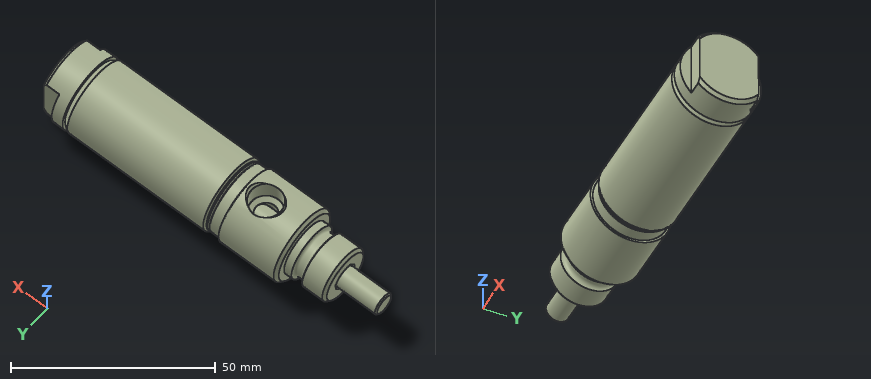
import cadquery as cq
import math

LENGTH = 100.8
BODY_RADIUS = 21.9 / 2

ROD_RADIUS = 6.4 / 2
ROD_TIP_CHAMFER = 0.4

NOSE_START = 12.3
GROOVE_START = 19.5
GROOVE_END = 22.8
SHOULDER_START = 25.1
SHOULDER_END = 43.3
HEAD_END = 46.7

NOSE_RADIUS = 8.0
NOSE_CHAMFER = 0.8
GROOVE_RADIUS = 6.8
GROOVE_FILLET = 0.8
SHOULDER_CHAMFER = 0.9
COLLAR_RADIUS = 10.3
ROD_MOUTH_RADIUS = 3.7

PORT_X = 37.2
PORT_RADIUS = 4.6
PORT_MOUTH_RADIUS = 5.3
PORT_FLOOR_Z = 4.0
PORT_DRILL_RADIUS = 3.1
PORT_POINT_ANGLE = 120.0

BARREL_LIP_RADIUS = 9.9
BARREL_BEAD_START = 47.3
BARREL_BEAD_END = 47.7
BARREL_BEAD_RADIUS = 10.3
BARREL_WALL_START = 48.2
BARREL_WALL_END = 90.9
BARREL_REAR_BREAK_LENGTH = 0.3
BARREL_REAR_BREAK_DEPTH = 0.1
BARREL_REAR_RADIUS = 10.0

CAP_START = 92.4
CAP_CHAMFER = 0.9
FLAT_START = 95.9
WIDTH_ACROSS_FLATS = 15.8


def turned(profile):
    """Solid of revolution about the X axis from a closed (x, radius) profile."""
    return profile.close().revolve(360, (0, 0, 0), (1, 0, 0))


def cone_about_x(start_x, end_x, start_radius, end_radius):
    """Cone frustum along the X axis."""
    profile = cq.Workplane("XY").polyline(
        [(start_x, 0), (start_x, start_radius), (end_x, end_radius), (end_x, 0)]
    )
    return turned(profile)


def make_rod():
    rod = cq.Workplane("YZ").circle(ROD_RADIUS).extrude(HEAD_END)
    return rod.faces("<X").chamfer(ROD_TIP_CHAMFER)


def head_blank():
    """Turned outside of the head: nose, relief groove, shoulder and collar."""
    runout = NOSE_RADIUS - GROOVE_RADIUS
    arc_reach = 1 - math.sqrt(0.5)
    profile = (
        cq.Workplane("XY")
        .moveTo(NOSE_START, 0)
        .lineTo(NOSE_START, NOSE_RADIUS - NOSE_CHAMFER)
        .lineTo(NOSE_START + NOSE_CHAMFER, NOSE_RADIUS)
        .lineTo(GROOVE_START, NOSE_RADIUS)
        .threePointArc(
            (GROOVE_START + runout * arc_reach, GROOVE_RADIUS + runout * arc_reach),
            (GROOVE_START + runout, GROOVE_RADIUS),
        )
        .lineTo(GROOVE_END - GROOVE_FILLET, GROOVE_RADIUS)
        .threePointArc(
            (GROOVE_END - GROOVE_FILLET * arc_reach, GROOVE_RADIUS + GROOVE_FILLET * arc_reach),
            (GROOVE_END, GROOVE_RADIUS + GROOVE_FILLET),
        )
        .lineTo(GROOVE_END, NOSE_RADIUS)
        .lineTo(SHOULDER_START, NOSE_RADIUS)
        .lineTo(SHOULDER_START, BODY_RADIUS - SHOULDER_CHAMFER)
        .lineTo(SHOULDER_START + SHOULDER_CHAMFER, BODY_RADIUS)
        .lineTo(SHOULDER_END, BODY_RADIUS)
        .lineTo(SHOULDER_END, COLLAR_RADIUS)
        .lineTo(HEAD_END, COLLAR_RADIUS)
        .lineTo(HEAD_END, 0)
    )
    return turned(profile)


def rod_bore():
    """Bore that fits the rod, with a countersunk mouth at the nose."""
    bore = cq.Workplane("YZ").circle(ROD_RADIUS).extrude(HEAD_END)
    mouth_depth = ROD_MOUTH_RADIUS - ROD_RADIUS
    mouth = cone_about_x(NOSE_START, NOSE_START + mouth_depth, ROD_MOUTH_RADIUS, ROD_RADIUS)
    return bore.union(mouth)


def port_cutter():
    """Countersunk port with a drill-point floor and a smaller hole down to the rod bore."""
    floor_drop = (PORT_RADIUS - PORT_DRILL_RADIUS) / math.tan(math.radians(PORT_POINT_ANGLE / 2))
    mouth_depth = PORT_MOUTH_RADIUS - PORT_RADIUS
    profile = cq.Workplane("XZ", origin=(PORT_X, 0, 0)).polyline(
        [
            (0, 0),
            (PORT_DRILL_RADIUS, 0),
            (PORT_DRILL_RADIUS, PORT_FLOOR_Z - floor_drop),
            (PORT_RADIUS, PORT_FLOOR_Z),
            (PORT_RADIUS, BODY_RADIUS - mouth_depth),
            (PORT_MOUTH_RADIUS, BODY_RADIUS),
            (0, BODY_RADIUS),
        ]
    )
    return profile.close().revolve(360, (0, 0, 0), (0, 1, 0))


def make_head():
    return head_blank().cut(rod_bore()).cut(port_cutter())


def make_barrel():
    profile = cq.Workplane("XY").polyline(
        [
            (HEAD_END, 0),
            (HEAD_END, BARREL_LIP_RADIUS),
            (BARREL_BEAD_START, BARREL_BEAD_RADIUS),
            (BARREL_BEAD_END, BARREL_BEAD_RADIUS),
            (BARREL_WALL_START, BODY_RADIUS),
            (BARREL_WALL_END, BODY_RADIUS),
            (BARREL_WALL_END + BARREL_REAR_BREAK_LENGTH, BODY_RADIUS - BARREL_REAR_BREAK_DEPTH),
            (CAP_START, BARREL_REAR_RADIUS),
            (CAP_START, 0),
        ]
    )
    return turned(profile)


def make_cap():
    """Rear cap with a chamfered end and two wrench flats facing -Y and +Y."""
    cap = (
        cq.Workplane("YZ", origin=(CAP_START, 0, 0))
        .circle(BODY_RADIUS)
        .extrude(LENGTH - CAP_START)
        .faces(">X")
        .chamfer(CAP_CHAMFER)
    )
    flat_depth = BODY_RADIUS - WIDTH_ACROSS_FLATS / 2
    waste_center_y = BODY_RADIUS - flat_depth / 2
    for side in (-1, 1):
        waste = cq.Workplane("XY").box(
            LENGTH - FLAT_START, flat_depth, 2 * BODY_RADIUS, centered=(False, True, True)
        )
        cap = cap.cut(waste.translate((FLAT_START, side * waste_center_y, 0)))
    return cap


rod = make_rod()
head = make_head()
barrel = make_barrel()
cap = make_cap()

result = cq.Compound.makeCompound([rod.val(), head.val(), barrel.val(), cap.val()])